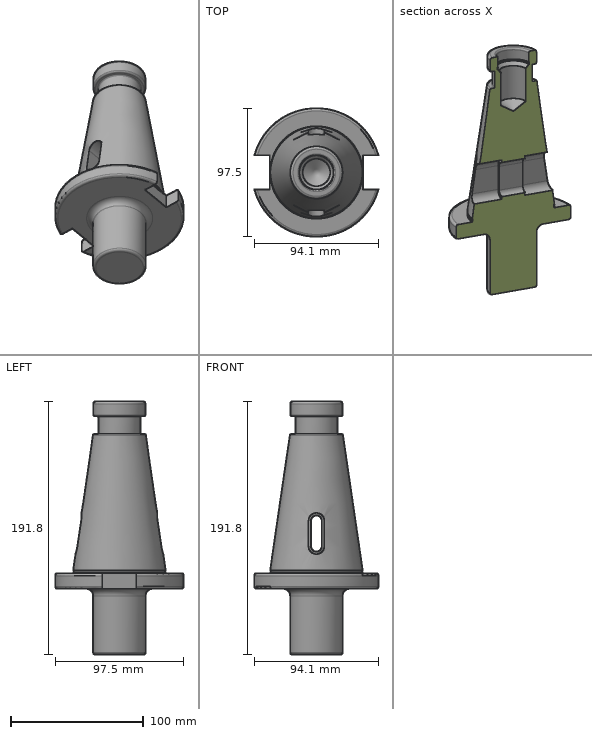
import cadquery as cq
import math

total_length = 191.8
shank_length = 49.8
flange_thickness = 12.0
gauge_height = 65.0
taper_length = 102.0
knob_height = 11.5

shank_diameter = 40.0
flange_diameter = 97.5
gauge_diameter = 69.85
taper_ratio = 7 / 24
neck_diameter = 32.0
knob_diameter = 39.6

shank_end_fillet = 2.0
shank_root_fillet = 5.0
flange_fillet = 2.0
taper_tip_fillet = 1.2
knob_top_fillet = 2.0
knob_bottom_fillet = 1.4
neck_fillet = 0.5

foot_groove_diameter = 69.2
foot_groove_width = 1.4
foot_groove_lip = 0.7

drive_slot_width = 25.7
drive_slot_floor = 35.3

cross_slot_center = 91.7
pocket_width = 12.0
pocket_length = 31.2
through_slot_rim = 2.0
pocket_web = 20.0

bore_diameter = 25.8
bore_depth = 9.3
relief_diameter = 26.8
relief_width = 1.3
bore_mouth_fillet = 1.4
seat_angle = 80.0
drill_diameter = 20.75
drill_depth = 40.0
drill_point_angle = 118.0

flange_top = shank_length + flange_thickness
taper_top = gauge_height + taper_length
knob_bottom = total_length - knob_height


def taper_radius(height):
    """Radius of the taper at a height above the free end of the shank."""
    return (gauge_diameter - (height - gauge_height) * taper_ratio) / 2


def cylinder(diameter, bottom, top):
    return cq.Workplane("XY").workplane(offset=bottom).circle(diameter / 2).extrude(top - bottom)


def make_shank_and_flange():
    shank_radius = shank_diameter / 2
    root_radius = shank_radius + shank_root_fillet
    shank = (
        cq.Workplane("XZ")
        .lineTo(shank_radius, 0)
        .lineTo(shank_radius, shank_length - shank_root_fillet)
        .radiusArc((root_radius, shank_length), shank_root_fillet)
        .lineTo(0, shank_length)
        .close()
        .revolve(360, (0, 0, 0), (0, 1, 0))
        .faces("<Z").edges().fillet(shank_end_fillet)
    )
    flange = cylinder(flange_diameter, shank_length, flange_top).edges("%CIRCLE").fillet(flange_fillet)
    return shank.union(flange)


def make_taper():
    groove_bottom = flange_top + foot_groove_lip
    groove_top = groove_bottom + foot_groove_width
    groove_radius = foot_groove_diameter / 2
    lip_radius = gauge_diameter / 2
    return (
        cq.Workplane("XZ")
        .moveTo(0, flange_top)
        .lineTo(lip_radius, flange_top)
        .lineTo(lip_radius, groove_bottom)
        .lineTo(groove_radius, groove_bottom)
        .lineTo(groove_radius, groove_top)
        .lineTo(taper_radius(groove_top), groove_top)
        .lineTo(taper_radius(taper_top), taper_top)
        .lineTo(0, taper_top)
        .close()
        .revolve(360, (0, 0, 0), (0, 1, 0))
        .faces(">Z").edges().fillet(taper_tip_fillet)
    )


def make_neck_and_knob():
    neck_radius = neck_diameter / 2
    flare_radius = neck_radius + neck_fillet
    neck = (
        cq.Workplane("XZ")
        .moveTo(0, taper_top)
        .lineTo(flare_radius, taper_top)
        .radiusArc((neck_radius, taper_top + neck_fillet), neck_fillet)
        .lineTo(neck_radius, knob_bottom - neck_fillet)
        .radiusArc((flare_radius, knob_bottom), neck_fillet)
        .lineTo(0, knob_bottom)
        .close()
        .revolve(360, (0, 0, 0), (0, 1, 0))
    )
    knob = cylinder(knob_diameter, knob_bottom, total_length)
    knob = knob.faces(">Z").edges().fillet(knob_top_fillet)
    knob = knob.faces("<Z").edges().fillet(knob_bottom_fillet)
    return neck.union(knob)


def make_drive_slots():
    slot_depth = flange_diameter / 2 - drive_slot_floor
    slots = cq.Workplane("XY")
    for side in (-1, 1):
        slot = (
            cq.Workplane("XY")
            .workplane(offset=shank_length)
            .center(side * (drive_slot_floor + slot_depth / 2), 0)
            .rect(slot_depth, drive_slot_width)
            .extrude(flange_thickness)
        )
        slots = slots.add(slot)
    return slots.combine()


def upright_slot(length, width, start, depth):
    """Round-ended slot standing along Z, cut from Y = start towards +Y."""
    return (
        cq.Workplane("XZ", origin=(0, start, cross_slot_center))
        .slot2D(length, width, 90)
        .extrude(-depth)
    )


def make_cross_slot():
    outside = gauge_diameter / 2
    pocket_depth = outside - pocket_web / 2
    front_pocket = upright_slot(pocket_length, pocket_width, -outside, pocket_depth)
    back_pocket = upright_slot(pocket_length, pocket_width, pocket_web / 2, pocket_depth)
    through_length = pocket_length - 2 * through_slot_rim
    through_width = pocket_width - 2 * through_slot_rim
    through_slot = upright_slot(through_length, through_width, -outside, 2 * outside)
    return through_slot.union(front_pocket).union(back_pocket)


def make_end_hole():
    bore_radius = bore_diameter / 2
    drill_radius = drill_diameter / 2
    mouth_radius = bore_radius + bore_mouth_fillet
    mouth_bottom = total_length - bore_mouth_fillet
    relief_radius = relief_diameter / 2
    relief_top = total_length - bore_depth
    seat_top = relief_top - relief_width
    seat_bottom = seat_top - (bore_radius - drill_radius) / math.tan(math.radians(seat_angle / 2))
    drill_bottom = total_length - drill_depth
    drill_tip = drill_bottom - drill_radius / math.tan(math.radians(drill_point_angle / 2))
    return (
        cq.Workplane("XZ")
        .moveTo(0, total_length)
        .lineTo(mouth_radius, total_length)
        .radiusArc((bore_radius, mouth_bottom), -bore_mouth_fillet)
        .lineTo(bore_radius, relief_top)
        .lineTo(relief_radius, relief_top)
        .lineTo(relief_radius, seat_top)
        .lineTo(bore_radius, seat_top)
        .lineTo(drill_radius, seat_bottom)
        .lineTo(drill_radius, drill_bottom)
        .lineTo(0, drill_tip)
        .close()
        .revolve(360, (0, 0, 0), (0, 1, 0))
    )


body = make_shank_and_flange().union(make_taper()).union(make_neck_and_knob())
result = body.cut(make_drive_slots()).cut(make_cross_slot()).cut(make_end_hole())